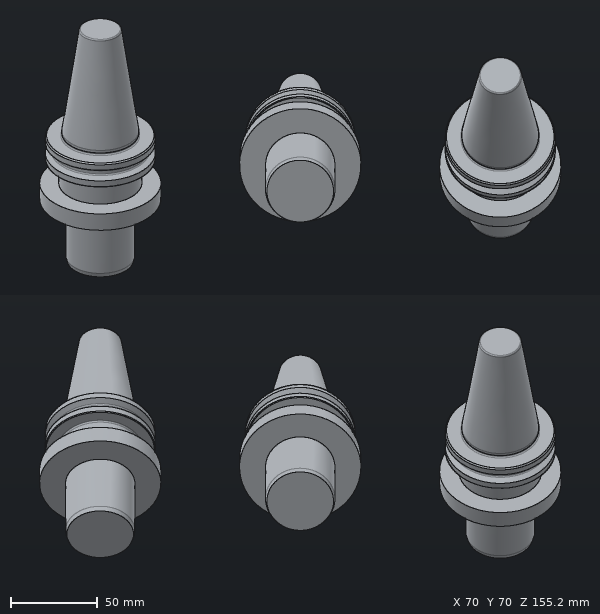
import cadquery as cq
import math

gauge_radius = 44.45 / 2
taper_length = 68.25
taper_rate = 7 / 24
taper_tip_radius = gauge_radius - taper_length * taper_rate / 2
taper_tip_fillet = 0.8

flange_radius = 63.5 / 2
flange_top = -3.18
flange_bottom = -19.15
flange_top_chamfer = 0.8
flange_bottom_chamfer = 0.5
groove_floor_radius = 56 / 2
groove_center = -11.25
groove_half_opening = 3.5
groove_half_floor = 1.6
groove_fillet = 0.9

relief_start = -1.7
relief_depth = 0.2
relief_radius = gauge_radius - relief_depth
relief_fillet = 0.7

neck_radius = 48 / 2
neck_fillet = 0.8
collar_radius = 70 / 2
collar_top = -35
collar_bottom = -46
pilot_radius = 40 / 2
pilot_bottom = -87
pilot_chamfer_height = 3
pilot_chamfer_angle = 15
pilot_chamfer_depth = pilot_chamfer_height * math.tan(math.radians(pilot_chamfer_angle))


def turned(profile):
    """Revolve (radius, height) points, closed along the axis, about Z."""
    closed = [(0, profile[0][1])] + profile + [(0, profile[-1][1])]
    return cq.Workplane("XZ").polyline(closed).close().revolve(360, (0, 0, 0), (0, 1, 0))


def circle_at(radius, height):
    """Select the circular edge of the given radius and height."""
    tolerance = 0.01
    reach = radius + tolerance
    inner = radius - tolerance
    low = height - tolerance
    high = height + tolerance
    box = cq.selectors.BoxSelector((-reach, -reach, low), (reach, reach, high), boundingbox=True)
    smaller = cq.selectors.BoxSelector((-inner, -inner, low), (inner, inner, high), boundingbox=True)
    return box - smaller


def make_blank():
    """Full turned outline with sharp corners."""
    return turned([
        (taper_tip_radius, taper_length),
        (gauge_radius, 0),
        (gauge_radius, relief_start),
        (relief_radius, relief_start - relief_depth),
        (relief_radius, flange_top),
        (flange_radius, flange_top),
        (flange_radius, groove_center + groove_half_opening),
        (groove_floor_radius, groove_center + groove_half_floor),
        (groove_floor_radius, groove_center - groove_half_floor),
        (flange_radius, groove_center - groove_half_opening),
        (flange_radius, flange_bottom),
        (neck_radius, flange_bottom),
        (neck_radius, collar_top),
        (collar_radius, collar_top),
        (collar_radius, collar_bottom),
        (pilot_radius, collar_bottom),
        (pilot_radius, pilot_bottom + pilot_chamfer_height),
        (pilot_radius - pilot_chamfer_depth, pilot_bottom),
    ])


def break_corners(body):
    """Round the taper tip and inner corners, and chamfer the flange rims."""
    for height, chamfer in ((flange_top, flange_top_chamfer), (flange_bottom, flange_bottom_chamfer)):
        body = body.edges(circle_at(flange_radius, height)).chamfer(chamfer)
    for radius, height, fillet in (
        (taper_tip_radius, taper_length, taper_tip_fillet),
        (relief_radius, flange_top, relief_fillet),
        (groove_floor_radius, groove_center + groove_half_floor, groove_fillet),
        (groove_floor_radius, groove_center - groove_half_floor, groove_fillet),
        (neck_radius, flange_bottom, neck_fillet),
    ):
        body = body.edges(circle_at(radius, height)).fillet(fillet)
    return body


result = break_corners(make_blank())